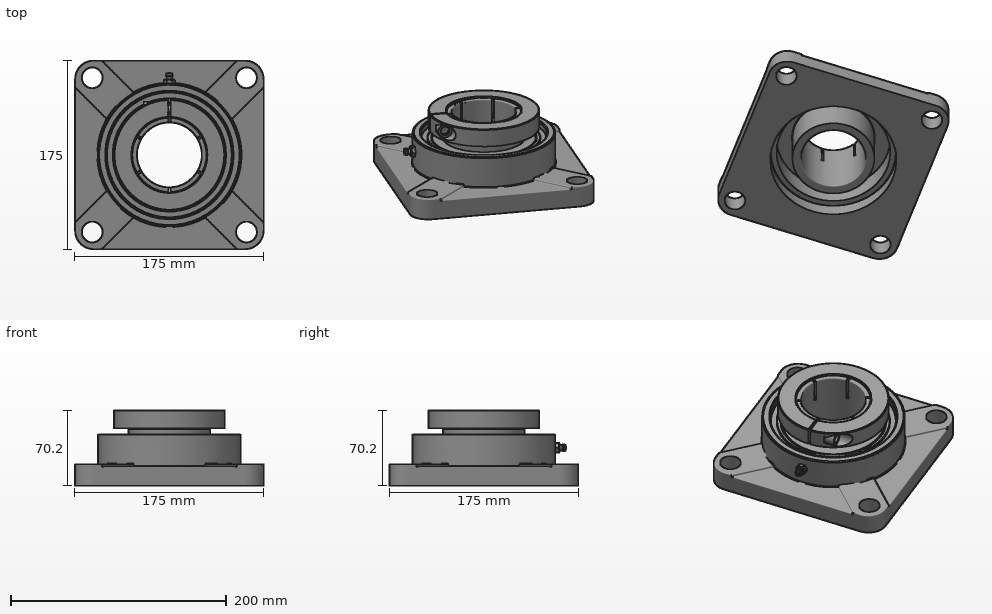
import cadquery as cq
import math

flange_side = 175.0
corner_radius = 17.5
web_height = 18.0
arm_height = 20.0
edge_rounding = 0.7
bolt_spacing = 143.0
bolt_hole_diameter = 19.0

drum_radius = 66.3
drum_top = 48.0
drum_bevel_width = 1.4
drum_bevel_height = 0.9
base_fillet = 0.7
seat_diameter = 116.9
seat_mouth_diameter = 119.4

outer_ring_top = 42.5
outer_ring_width = 28.0
outer_ring_bore_radius = 52.7
outer_ring_chamfer = 0.7
seal_recess_diameter = 98.0
seal_bore_diameter = 77.0
seal_thickness = 3.5
flinger_diameter = 96.0
flinger_thickness = 1.8
neck_diameter = 76.0
neck_chamfer = 0.7
shaft_bore_diameter = 60.0
inner_ring_bottom = 3.5
inner_ring_top = 69.0
spigot_chamfer = 1.0
bore_rounding = 1.0

slot_count = 6
first_slot_angle = 90
slot_width = 2.1
slot_bottom = 47.2

collar_diameter = 102.9
collar_bore_diameter = 70.7
collar_bottom = 53.2
collar_top = 70.2
collar_chamfer = 0.7
screw_offset = 42.7
screw_diameter = 6.6
screw_head_diameter = 13.0
counterbore_diameter = 14.0
screw_head_end = -24.0
screw_head_length = 9.8
screw_shank_length = 28.0
socket_diameter = 8.4
socket_depth = 3.5

fitting_height = 35.2
fitting_hex_flats = 9.1
fitting_hex_end = 70.4
fitting_hex_chamfer = 1.4
fitting_shank_diameter = 6.0
fitting_shank_start = 61.2
fitting_neck_radius = 2.6
fitting_neck_end = 72.6
fitting_head_diameter = 6.6
fitting_head_start = 73.5
fitting_head_end = 74.0
fitting_tip_radius = 2.6
fitting_tip_end = 75.8
fitting_ball_diameter = 2.0
fitting_end = 76.1


def turned(profile):
    """Solid of revolution about Z from (radius, height) points."""
    return cq.Workplane("XZ").polyline(profile).close().revolve(360, (0, 0), (0, 1))


def cylinder(diameter, bottom, top):
    return cq.Workplane("XY").workplane(offset=bottom).circle(diameter / 2).extrude(top - bottom)


def rod_x(diameter, start, end):
    """Cylinder along X on the axis of the clamp screw."""
    screw_height = (collar_bottom + collar_top) / 2
    plane = cq.Workplane("YZ", origin=(start, screw_offset, screw_height))
    return plane.circle(diameter / 2).extrude(end - start)


def flange_plate(height):
    """Square plate with round corners and a rounded top edge."""
    plate = cq.Workplane("XY").rect(flange_side, flange_side).extrude(height)
    return plate.edges("|Z").fillet(corner_radius).faces(">Z").edges().fillet(edge_rounding)


def arc_middle(centre_x, centre_y, radius, angle):
    """Point of a circle, for the middle of an arc."""
    return (
        centre_x + radius * math.cos(math.radians(angle)),
        centre_y + radius * math.sin(math.radians(angle)),
    )


def diagonal_bar(angle, height):
    """Bar across the flange, as wide as the round corners, with flared feet and rounded top edges."""
    half_width = corner_radius
    foot = half_width + base_fillet
    shoulder = half_width - edge_rounding
    foot_arc = arc_middle(foot, web_height + base_fillet, base_fillet, 225)
    top_arc = arc_middle(shoulder, arm_height - edge_rounding, edge_rounding, 45)
    half = (
        cq.Workplane("YZ")
        .lineTo(foot, 0)
        .lineTo(foot, web_height)
        .threePointArc(foot_arc, (half_width, web_height + base_fillet))
        .lineTo(half_width, arm_height - edge_rounding)
        .threePointArc(top_arc, (shoulder, arm_height))
        .lineTo(shoulder, height)
        .lineTo(0, height)
        .close()
        .extrude(flange_side, both=True)
    )
    bar = half.union(half.mirror("XZ"))
    return bar.rotate((0, 0, 0), (0, 0, 1), angle)


def base_flare(height):
    """Disc with a concave edge that blends the drum into a face at the given height."""
    centre_radius = drum_radius + base_fillet
    flare_arc = arc_middle(centre_radius, height + base_fillet, base_fillet, 225)
    return (
        cq.Workplane("XZ")
        .moveTo(0, 0)
        .lineTo(centre_radius, 0)
        .lineTo(centre_radius, height)
        .threePointArc(flare_arc, (drum_radius, height + base_fillet))
        .lineTo(0, height + base_fillet)
        .close()
        .revolve(360, (0, 0), (0, 1))
    )


def make_housing():
    body = flange_plate(web_height).union(base_flare(web_height))
    raised = flange_plate(arm_height).union(base_flare(arm_height))
    for angle in (45, 135):
        body = body.union(raised.intersect(diagonal_bar(angle, arm_height + base_fillet)))
    drum = turned([
        (0, 0),
        (drum_radius, 0),
        (drum_radius, drum_top - drum_bevel_height),
        (drum_radius - drum_bevel_width, drum_top),
        (0, drum_top),
    ])
    body = body.union(drum)

    seat_radius = seat_diameter / 2
    mouth_radius = seat_mouth_diameter / 2
    seat = turned([
        (0, 0),
        (seat_radius, 0),
        (seat_radius, drum_top - (mouth_radius - seat_radius)),
        (mouth_radius, drum_top),
        (0, drum_top),
    ])
    bolt_holes = (
        cq.Workplane("XY")
        .rect(bolt_spacing, bolt_spacing, forConstruction=True)
        .vertices()
        .circle(bolt_hole_diameter / 2)
        .extrude(arm_height)
    )
    return body.cut(seat).cut(bolt_holes).cut(fitting_shank())


def make_outer_ring():
    bottom = outer_ring_top - outer_ring_width
    ring = cylinder(seat_diameter, bottom, outer_ring_top).edges().chamfer(outer_ring_chamfer)
    return ring.cut(cylinder(2 * outer_ring_bore_radius, bottom, outer_ring_top))


def make_seal():
    """Cover of the outer ring, with a recess that the flinger turns in."""
    bottom = outer_ring_top - seal_thickness
    seal = cylinder(2 * outer_ring_bore_radius, bottom, outer_ring_top)
    seal = seal.faces(">Z").edges().chamfer(outer_ring_chamfer)
    recess = cylinder(seal_recess_diameter, outer_ring_top - flinger_thickness, outer_ring_top)
    return seal.cut(recess).cut(cylinder(seal_bore_diameter, bottom, outer_ring_top))


def make_flinger():
    bottom = outer_ring_top - flinger_thickness
    disc = cylinder(flinger_diameter, bottom, outer_ring_top)
    return disc.cut(cylinder(neck_diameter, bottom, outer_ring_top))


def clamping_slot(angle):
    """Slot whose floor rises outward from the bore to the foot of the collar."""
    inner = shaft_bore_diameter / 2
    outer = collar_bore_diameter / 2
    section = [
        (0, slot_bottom),
        (inner, slot_bottom),
        (outer, collar_bottom),
        (outer, collar_top),
        (0, collar_top),
    ]
    slot = cq.Workplane("XZ").polyline(section).close().extrude(slot_width / 2, both=True)
    return slot.rotate((0, 0, 0), (0, 0, 1), angle)


def make_inner_ring():
    ring = cylinder(neck_diameter, inner_ring_bottom, collar_bottom)
    ring = ring.faces(">Z").edges().chamfer(neck_chamfer)
    spigot = cylinder(collar_bore_diameter, collar_bottom, inner_ring_top)
    ring = ring.union(spigot.faces(">Z").edges().chamfer(spigot_chamfer))
    ring = ring.cut(cylinder(shaft_bore_diameter, inner_ring_bottom, inner_ring_top))
    ring = ring.edges(cq.selectors.RadiusNthSelector(0)).fillet(bore_rounding)
    for index in range(slot_count):
        ring = ring.cut(clamping_slot(first_slot_angle + index * 360 / slot_count))
    return ring


def make_collar():
    collar = cylinder(collar_diameter, collar_bottom, collar_top)
    collar = collar.faces(">Z").edges().chamfer(collar_chamfer)
    collar = collar.cut(cylinder(collar_bore_diameter, collar_bottom, collar_top))
    slit = cq.Workplane("XY").box(
        slot_width, collar_diameter, collar_top, centered=(True, False, False)
    )
    head_seat = screw_head_end + screw_head_length
    counterbore = rod_x(counterbore_diameter, -collar_diameter / 2, head_seat)
    screw_hole = rod_x(screw_diameter, head_seat, head_seat + screw_shank_length)
    return collar.cut(slit).cut(counterbore).cut(screw_hole)


def make_clamp_screw():
    head_seat = screw_head_end + screw_head_length
    head = rod_x(screw_head_diameter, screw_head_end, head_seat)
    shank = rod_x(screw_diameter, head_seat, head_seat + screw_shank_length)
    socket = rod_x(socket_diameter, screw_head_end, screw_head_end + socket_depth)
    return head.union(shank).cut(socket)


def along_fitting(body):
    """Turns a body from the Z axis to the axis of the grease fitting, along +Y."""
    return body.rotate((0, 0, 0), (1, 0, 0), -90).translate((0, 0, fitting_height))


def fitting_shank():
    return along_fitting(cylinder(fitting_shank_diameter, fitting_shank_start, drum_radius))


def make_grease_fitting():
    hex_corners = fitting_hex_flats / math.cos(math.pi / 6)
    hexagon = cq.Workplane("XY").polygon(6, hex_corners).extrude(fitting_hex_end)
    hex_radius = hex_corners / 2
    blank = turned([
        (0, 0),
        (hex_radius, 0),
        (hex_radius, fitting_hex_end - fitting_hex_chamfer),
        (hex_radius - fitting_hex_chamfer, fitting_hex_end),
        (0, fitting_hex_end),
    ])
    head_radius = fitting_head_diameter / 2
    ball_radius = fitting_ball_diameter / 2
    nipple = turned([
        (0, fitting_hex_end),
        (fitting_neck_radius, fitting_hex_end),
        (fitting_neck_radius, fitting_neck_end),
        (head_radius, fitting_head_start),
        (head_radius, fitting_head_end),
        (fitting_tip_radius, fitting_tip_end),
        (ball_radius, fitting_tip_end),
        (ball_radius, fitting_end),
        (0, fitting_end),
    ])
    body = along_fitting(hexagon.intersect(blank).union(nipple))
    body = body.cut(cylinder(2 * drum_radius, 0, drum_top))
    return body.union(fitting_shank())


housing = make_housing()
outer_ring = make_outer_ring()
seal = make_seal()
flinger = make_flinger()
inner_ring = make_inner_ring()
collar = make_collar()
clamp_screw = make_clamp_screw()
grease_fitting = make_grease_fitting()

result = cq.Compound.makeCompound([
    housing.val(),
    outer_ring.val(),
    seal.val(),
    flinger.val(),
    inner_ring.val(),
    collar.val(),
    clamp_screw.val(),
    grease_fitting.val(),
])